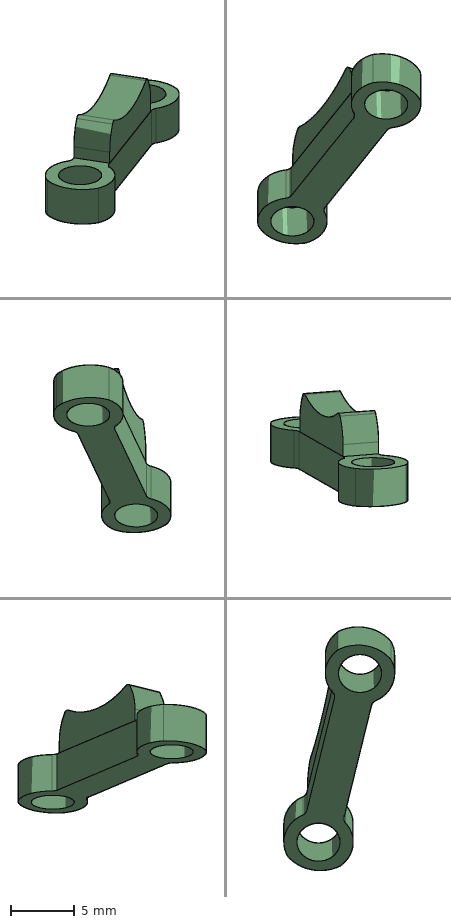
import cadquery as cq
import math

length = 20.58
bar_width = 3.0
base_height = 3.05
eye_spacing = 15.5
eye_width = 5.5
hole_diameter = 3.4
end_arc_radius = 3.21
neck_fillet = 0.62

saddle_length = 9.88
flank_straight = 0.97
flank_radius = 3.75
trough_z = 5.41
trough_radius = 8.4
crest_fillet = 0.4

half_bar = bar_width / 2
eye_y = eye_spacing / 2
eye_radius = eye_width / 2


def make_eye(side):
    """Eyelet disc at one end, trimmed by the end arc; side is +1 or -1."""
    disc = cq.Workplane("XY").center(0, side * eye_y).circle(eye_radius).extrude(base_height)
    end_arc_y = side * (length / 2 - end_arc_radius)
    end_disc = cq.Workplane("XY").center(0, end_arc_y).circle(end_arc_radius).extrude(base_height)
    return disc.intersect(end_disc)


def make_base():
    """Bar and eyelets with filleted necks and through holes."""
    base = cq.Workplane("XY").rect(bar_width, eye_spacing).extrude(base_height)
    for side in (1, -1):
        base = base.union(make_eye(side))

    neck_y = eye_y - math.sqrt(eye_radius**2 - half_bar**2)
    neck_points = [(x, y, base_height / 2) for x in (-half_bar, half_bar) for y in (-neck_y, neck_y)]
    for point in neck_points:
        base = base.edges(cq.selectors.NearestToPointSelector(point)).fillet(neck_fillet)

    holes = (
        cq.Workplane("XY")
        .pushPoints([(0, -eye_y), (0, eye_y)])
        .circle(hole_diameter / 2)
        .extrude(base_height)
    )
    return base.cut(holes)


def make_saddle():
    """Block whose flanks curve inward, with a cylindrical trough and rounded crests."""
    half_length = saddle_length / 2
    shoulder_z = base_height + flank_straight

    flank_top_y = half_length - flank_radius
    flank_top_z = shoulder_z + flank_radius
    diagonal = flank_radius * math.sqrt(0.5)
    mid_y = flank_top_y + diagonal
    mid_z = shoulder_z + diagonal
    block = (
        cq.Workplane("YZ")
        .moveTo(-half_length, base_height)
        .lineTo(half_length, base_height)
        .lineTo(half_length, shoulder_z)
        .threePointArc((mid_y, mid_z), (flank_top_y, flank_top_z))
        .lineTo(-flank_top_y, flank_top_z)
        .threePointArc((-mid_y, mid_z), (-half_length, shoulder_z))
        .close()
        .extrude(half_bar, both=True)
    )
    trough = (
        cq.Workplane("YZ")
        .center(0, trough_z + trough_radius)
        .circle(trough_radius)
        .extrude(half_bar, both=True)
    )
    return block.cut(trough).edges("|X and >Z").fillet(crest_fillet)


base = make_base()
saddle = make_saddle()
result = cq.Compound.makeCompound([base.val(), saddle.val()])